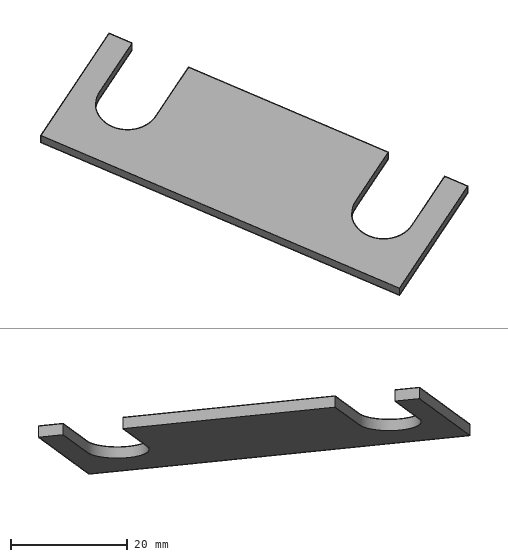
import cadquery as cq

length = 70.0
width = 25.0
thickness = 2.0

slot_spacing = 50.0
slot_width = 11.0
slot_depth = 17.5


def slot_cutter(center_x):
    """Full-thickness cutter for one slot, open at the +Y edge."""
    radius = slot_width / 2
    edge_y = width / 2
    arc_center_y = edge_y - slot_depth + radius
    return (
        cq.Workplane("XY")
        .moveTo(center_x - radius, edge_y)
        .lineTo(center_x - radius, arc_center_y)
        .threePointArc((center_x, edge_y - slot_depth), (center_x + radius, arc_center_y))
        .lineTo(center_x + radius, edge_y)
        .close()
        .extrude(thickness)
    )


result = cq.Workplane("XY").box(length, width, thickness, centered=(True, True, False))
for side in (-1, 1):
    result = result.cut(slot_cutter(side * slot_spacing / 2))